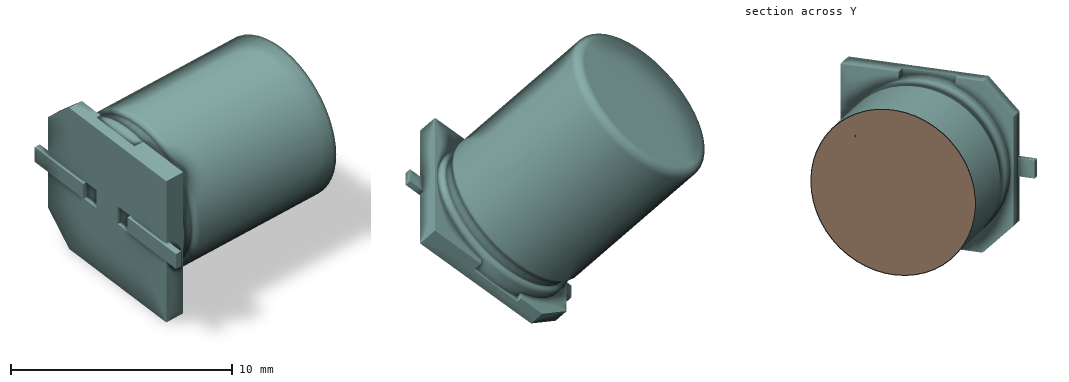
import cadquery as cq


base_size = 8.3
base_chamfer = 1.5
standoff = 0.1
floor_thickness = 0.5
low_wall_height = 0.75
high_wall_height = 1.0
notch_half_width = 1.34

can_radius = 4.0
can_top = 10.5
top_fillet = 0.4
groove_depth = 0.25
groove_width = 0.5
groove_start = 1.35

lead_span = 9.9
lead_length = 3.4
lead_width = 0.87
lead_thickness = 0.3
slot_width = 1.04
slot_gap = 1.5
slot_depth = lead_thickness - standoff

half_base = base_size / 2
floor_top = standoff + floor_thickness


def box(x_range, y_range, z_width):
    """Block between two X and two Y positions, centred on Z = 0."""
    x_length = x_range[1] - x_range[0]
    y_length = y_range[1] - y_range[0]
    block = cq.Workplane("XY").box(x_length, y_length, z_width, centered=(False, False, True))
    return block.translate((x_range[0], y_range[0], 0))


def make_base():
    """Stepped plate: low wall, notch and high wall along X, with the -X corners chamfered."""
    floor = box((-half_base, half_base), (standoff, floor_top), base_size)
    low_wall = box((-half_base, -notch_half_width), (standoff, standoff + low_wall_height), base_size)
    high_wall = box((notch_half_width, half_base), (standoff, standoff + high_wall_height), base_size)
    low_wall = low_wall.edges("|Y and <X").chamfer(base_chamfer)
    floor = floor.edges("|Y and <X").chamfer(base_chamfer)
    return floor.union(low_wall).union(high_wall)


def make_can():
    """Revolved can with a rounded top rim and a crimp groove near the base."""
    groove_bottom = standoff + groove_start
    groove_top = groove_bottom + groove_width
    groove_radius = can_radius - groove_depth
    profile = (
        cq.Workplane("XY")
        .moveTo(0, floor_top)
        .lineTo(can_radius, floor_top)
        .lineTo(can_radius, groove_bottom - groove_depth)
        .radiusArc((groove_radius, groove_bottom), -groove_depth)
        .lineTo(groove_radius, groove_top)
        .radiusArc((can_radius, groove_top + groove_depth), -groove_depth)
        .lineTo(can_radius, can_top - top_fillet)
        .radiusArc((can_radius - top_fillet, can_top), -top_fillet)
        .lineTo(0, can_top)
        .close()
    )
    return profile.revolve(360, (0, 0, 0), (0, 1, 0))


def make_slot():
    """Cutter for the +X lead slot, open at the base edge."""
    return box((slot_gap / 2, half_base), (standoff, standoff + slot_depth), slot_width)


def make_lead():
    """Flat +X lead, seated against the slot floor."""
    tip = lead_span / 2
    return box((tip - lead_length, tip), (0, lead_thickness), lead_width)


body = make_base().union(make_can())
slot = make_slot()
lead = make_lead()
body = body.cut(slot).cut(slot.mirror("YZ"))
result = body.union(lead).union(lead.mirror("YZ"))